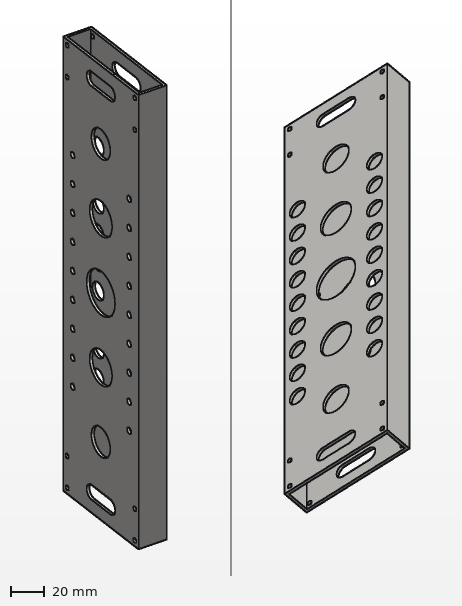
import cadquery as cq

LENGTH = 314.0
WIDTH = 80.0
DEPTH = 20.0
WALL = 2.0

CENTRE_OPENING_DIAMETER = 30.0
MIDDLE_OPENING_DIAMETER = 24.0
OUTER_OPENING_DIAMETER = 20.0
OUTER_OPENING_SPAN = 206.0
OUTER_OPENING_OFFSET = OUTER_OPENING_SPAN / 2
MIDDLE_OPENING_OFFSET = OUTER_OPENING_OFFSET / 2

SLOT_LENGTH = 30.0
SLOT_HEIGHT = 10.0
SLOT_END_DISTANCE = 14.0

ROW_HOLE_COUNT = 9
ROW_HOLE_DIAMETER = 4.0
ROW_ACCESS_DIAMETER = 12.0
ROW_LENGTH = 160.0
ROW_PITCH = ROW_LENGTH / (ROW_HOLE_COUNT - 1)
ROW_SPACING = 60.0

SCREW_HOLE_DIAMETER = 3.0
SCREW_SPACING = 72.0
SCREW_END_DISTANCES = (4.0, 26.0)


def round_cutters(points, diameter):
    """Cylinders along Y at (x, z) points, long enough to pierce both broad walls."""
    return cq.Workplane("XZ").pushPoints(points).circle(diameter / 2).extrude(DEPTH, both=True)


def rear_round_cutters(points, diameter):
    """Cylinders from mid-depth toward +Y, piercing only the rear broad wall."""
    return cq.Workplane("XZ").pushPoints(points).circle(diameter / 2).extrude(-DEPTH)


def slot_cutters(points):
    """Full-round slots lying along X, piercing both broad walls."""
    return cq.Workplane("XZ").pushPoints(points).slot2D(SLOT_LENGTH, SLOT_HEIGHT).extrude(DEPTH, both=True)


def mirrored_points(x_spacing, heights):
    """Points on both sides of the centre line at each height."""
    return [(side * x_spacing / 2, z) for side in (-1, 1) for z in heights]


def both_ends(distance):
    """Heights at the given distance from the bottom and top ends."""
    height = LENGTH / 2 - distance
    return [-height, height]


tube = cq.Workplane("XY").box(WIDTH, DEPTH, LENGTH)
bore = cq.Workplane("XY").box(WIDTH - 2 * WALL, DEPTH - 2 * WALL, LENGTH)
result = tube.cut(bore)

openings = (
    (0, CENTRE_OPENING_DIAMETER),
    (-MIDDLE_OPENING_OFFSET, MIDDLE_OPENING_DIAMETER),
    (MIDDLE_OPENING_OFFSET, MIDDLE_OPENING_DIAMETER),
    (-OUTER_OPENING_OFFSET, OUTER_OPENING_DIAMETER),
    (OUTER_OPENING_OFFSET, OUTER_OPENING_DIAMETER),
)
for z, diameter in openings:
    result = result.cut(round_cutters([(0, z)], diameter))

result = result.cut(slot_cutters([(0, z) for z in both_ends(SLOT_END_DISTANCE)]))

row_heights = [i * ROW_PITCH - ROW_LENGTH / 2 for i in range(ROW_HOLE_COUNT)]
row_points = mirrored_points(ROW_SPACING, row_heights)
result = result.cut(round_cutters(row_points, ROW_HOLE_DIAMETER))
result = result.cut(rear_round_cutters(row_points, ROW_ACCESS_DIAMETER))

for distance in SCREW_END_DISTANCES:
    screw_points = mirrored_points(SCREW_SPACING, both_ends(distance))
    result = result.cut(round_cutters(screw_points, SCREW_HOLE_DIAMETER))